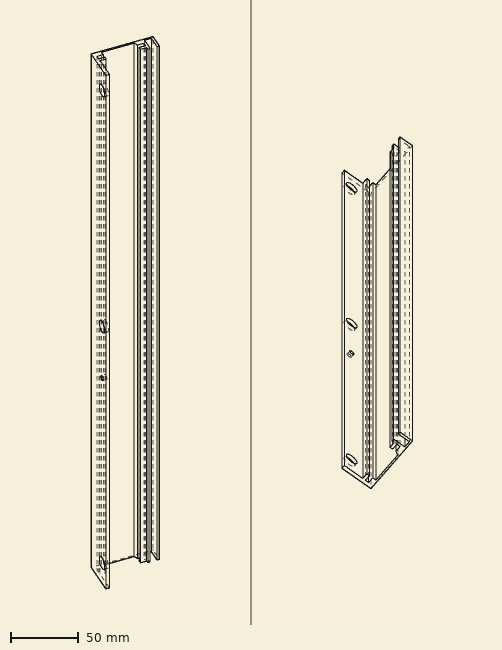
import cadquery as cq

length = 494.0
width = 27.0
depth = 50.0

web_thickness = 1.5
base_thickness = 3.0
lip_thickness = 2.0
lip_width = 12.0
lip_gap = 5.5

block_width = 4.5
slot_width = 3.0
rib_width = 2.5
channel_depth = 5.0
block_chamfer = 1.5

hole_x = 20.5
mount_hole_diameter = 10.0
mount_hole_end_distance = 20.0
pilot_hole_diameter = 4.0
pilot_hole_drop = 49.5

channel_top = base_thickness + channel_depth
inner_lip_top = depth - lip_thickness - lip_gap
inner_lip_bottom = inner_lip_top - lip_thickness
upper_channel_bottom = inner_lip_bottom - channel_depth
rib_x = block_width + slot_width


def bar(x_start, y_start, x_size, y_size):
    """Full-length rectangular bar with its lower corner at the given point."""
    return cq.Workplane("XY").box(x_size, y_size, length, centered=False).translate((x_start, y_start, 0))


def base_hole(z, diameter):
    """Round cutter passing through the base flange."""
    return (
        cq.Workplane("XZ", origin=(hole_x, 0, z))
        .circle(diameter / 2)
        .extrude(-base_thickness)
    )


profile = bar(0, 0, web_thickness, depth)
profile = profile.union(bar(0, 0, width, base_thickness))
for lip_bottom in (depth - lip_thickness, inner_lip_bottom):
    profile = profile.union(bar(0, lip_bottom, lip_width, lip_thickness))

for rib_bottom in (base_thickness, upper_channel_bottom):
    profile = profile.union(bar(rib_x, rib_bottom, rib_width, channel_depth))

profile = profile.union(bar(0, 0, block_width, channel_top))
upper_block = (
    cq.Workplane("XY")
    .moveTo(0, inner_lip_top)
    .lineTo(block_width, inner_lip_top)
    .lineTo(block_width, upper_channel_bottom)
    .lineTo(web_thickness, upper_channel_bottom - block_chamfer)
    .lineTo(0, upper_channel_bottom - block_chamfer)
    .close()
    .extrude(length)
)
profile = profile.union(upper_block)

for z in (mount_hole_end_distance, length / 2, length - mount_hole_end_distance):
    profile = profile.cut(base_hole(z, mount_hole_diameter))
profile = profile.cut(base_hole(length / 2 - pilot_hole_drop, pilot_hole_diameter))

result = profile.clean()